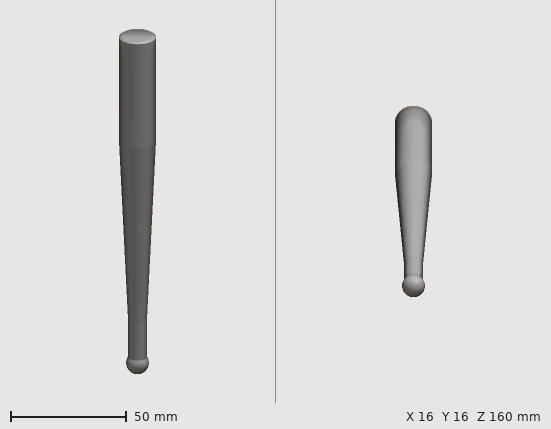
import cadquery as cq
import math

total_length = 160.0

shank_diameter = 16.0
grip_length = 50.0
chamfer_width = 1.0
chamfer_height = 0.6

neck_diameter = 8.2
ball_diameter = 10.0
neck_top_z = 25.0

shank_radius = shank_diameter / 2
neck_radius = neck_diameter / 2
ball_radius = ball_diameter / 2
taper_top_z = total_length - grip_length
ball_top_z = ball_radius + math.sqrt(ball_radius**2 - neck_radius**2)


def revolve_about_z(half_profile):
    """Turn a closed (radius, height) profile a full revolution around Z."""
    return half_profile.close().revolve(360, (0, 0, 0), (0, 1, 0))


def make_shank():
    """Chamfered cylindrical grip with a long conical taper below it."""
    half_profile = (
        cq.Workplane("XZ")
        .moveTo(0, neck_top_z)
        .lineTo(neck_radius, neck_top_z)
        .lineTo(shank_radius, taper_top_z)
        .lineTo(shank_radius, total_length - chamfer_height)
        .lineTo(shank_radius - chamfer_width, total_length)
        .lineTo(0, total_length)
    )
    return revolve_about_z(half_profile)


def make_ball_tip():
    """Straight neck that runs into a larger ball, with the ball's pole at Z = 0."""
    half_profile = (
        cq.Workplane("XZ")
        .moveTo(0, 0)
        .threePointArc((ball_radius, ball_radius), (neck_radius, ball_top_z))
        .lineTo(neck_radius, neck_top_z)
        .lineTo(0, neck_top_z)
    )
    return revolve_about_z(half_profile)


shank = make_shank()
ball_tip = make_ball_tip()

result = cq.Compound.makeCompound([shank.val(), ball_tip.val()])